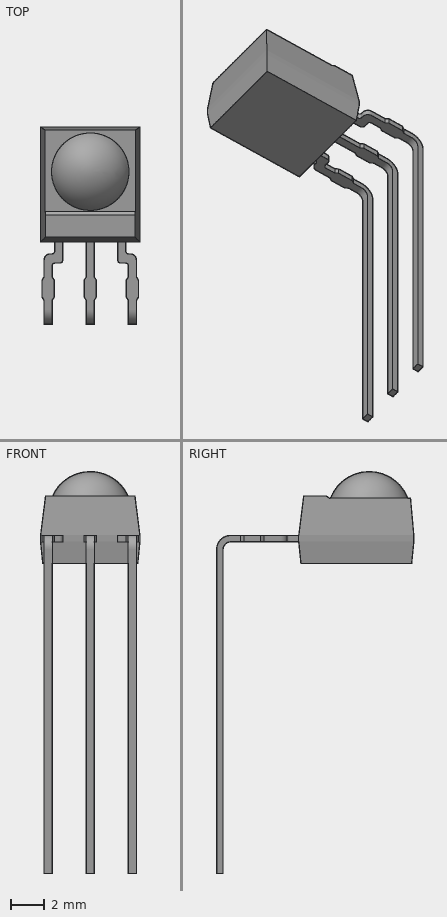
import cadquery as cq

total_height = 24.25
total_length = 11.9

body_width = 6.0
body_length = 6.95
body_bottom_height = 1.3
lead_thickness = 0.4
shelf_height = 2.25
rim_rise = 0.13
side_inset = 0.3
front_inset = 0.3
back_inset = 0.2
bottom_inset = 0.13
rim_foot_from_back = 5.1
rim_slope_length = 0.2

lens_radius = 2.335
lens_height = 1.6
lens_from_back = 2.7

lead_pitch = 2.54
lead_width = 0.5
lead_wide_width = 0.75
lead_taper_length = 0.19
lead_embed = 0.5
bend_inner_radius = 0.45
stub_width = 0.5
stub_offset = 1.9
jog_start = 0.7
jog_width = 0.57
wide_start = 2.1
wide_length = 1.4
jog_outer_radius = 0.38
jog_convex_radius = 0.2
jog_concave_radius = 0.15

band_bottom = body_bottom_height
band_top = band_bottom + lead_thickness
shelf_z = band_top + shelf_height
rim_z = shelf_z + rim_rise
back_y = body_length / 2
front_y = -back_y
lead_tip_y = back_y - total_length
lead_tip_z = shelf_z + lens_height - total_height
bend_outer_radius = bend_inner_radius + lead_thickness
bend_start_y = lead_tip_y + bend_outer_radius


def section(z, inset_x, inset_front, inset_back):
    """Closed rectangular wire of the body at height z."""
    half_width = body_width / 2 - inset_x
    front = front_y + inset_front
    back = back_y - inset_back
    corners = [(-half_width, front), (half_width, front), (half_width, back), (-half_width, back)]
    return cq.Wire.makePolygon([cq.Vector(x, y, z) for x, y in corners], close=True)


def frustum(lower, upper):
    return cq.Workplane(cq.Solid.makeLoft([lower, upper], True))


def make_body():
    base_section = section(0, bottom_inset, bottom_inset, bottom_inset)
    band_lower = section(band_bottom, 0, 0, 0)
    band_upper = section(band_top, 0, 0, 0)
    back_inset_at_rim = back_inset * (rim_z - band_top) / shelf_height
    top_section = section(rim_z, side_inset, front_inset, back_inset_at_rim)
    body = frustum(base_section, band_lower)
    body = body.union(frustum(band_lower, band_upper))
    body = body.union(frustum(band_upper, top_section))

    rim_foot_y = back_y - rim_foot_from_back
    shelf_cut = (
        cq.Workplane("YZ")
        .moveTo(rim_foot_y, shelf_z)
        .lineTo(rim_foot_y - rim_slope_length, rim_z)
        .lineTo(back_y, rim_z)
        .lineTo(back_y, shelf_z)
        .close()
        .extrude(body_width / 2, both=True)
    )
    return body.cut(shelf_cut)


def make_lens():
    sphere_radius = (lens_radius**2 + lens_height**2) / (2 * lens_height)
    sphere_z = shelf_z + lens_height - sphere_radius
    sphere = cq.Workplane("XY").sphere(sphere_radius).translate((0, 0, sphere_z))
    core = cq.Workplane("XY").workplane(offset=band_top).circle(lens_radius).extrude(total_height)
    lens = sphere.intersect(core)
    return lens.translate((0, back_y - lens_from_back, 0))


def lead_plate(outline):
    """Flat lead stretch, cut from the lead sheet."""
    return cq.Workplane("XY").workplane(offset=band_bottom).polyline(outline).close().extrude(lead_thickness)


def lead_bar(x, start_y):
    """Lead from start_y forward, widened in the middle, then bent down to its tip."""
    half = lead_width / 2
    half_wide = lead_wide_width / 2
    wide_back = front_y - wide_start
    wide_front = wide_back - wide_length
    right_edge = [
        (half, start_y),
        (half, wide_back),
        (half_wide, wide_back - lead_taper_length),
        (half_wide, wide_front + lead_taper_length),
        (half, wide_front),
        (half, bend_start_y),
    ]
    left_edge = [(-px, py) for px, py in reversed(right_edge)]
    flat = lead_plate(right_edge + left_edge)

    leg = (
        cq.Workplane("YZ")
        .moveTo(bend_start_y, band_top)
        .radiusArc((lead_tip_y, band_top - bend_outer_radius), -bend_outer_radius)
        .lineTo(lead_tip_y, lead_tip_z)
        .lineTo(lead_tip_y + lead_thickness, lead_tip_z)
        .lineTo(lead_tip_y + lead_thickness, band_top - bend_outer_radius)
        .radiusArc((bend_start_y, band_bottom), bend_inner_radius)
        .close()
        .extrude(half, both=True)
    )
    return flat.union(leg).translate((x, 0, 0))


def make_jogged_lead():
    """Right-hand outer lead, which steps outward just in front of the body."""
    stub_inner = stub_offset - stub_width / 2
    stub_outer = stub_offset + stub_width / 2
    lead_inner = lead_pitch - lead_width / 2
    lead_outer = lead_pitch + lead_width / 2
    jog_back = front_y - jog_start
    jog_front = jog_back - jog_width
    straight_start = (jog_front + front_y - wide_start) / 2
    jog = lead_plate([
        (stub_inner, front_y + lead_embed),
        (stub_outer, front_y + lead_embed),
        (stub_outer, jog_back),
        (lead_outer, jog_back),
        (lead_outer, straight_start),
        (lead_inner, straight_start),
        (lead_inner, jog_front),
        (stub_inner, jog_front),
    ])

    def corner(x, y):
        return cq.selectors.NearestToPointSelector((x, y, band_bottom + lead_thickness / 2))

    rounded_corners = [
        (lead_outer, jog_back, jog_outer_radius),
        (stub_outer, jog_back, jog_concave_radius),
        (lead_inner, jog_front, jog_concave_radius),
        (stub_inner, jog_front, jog_convex_radius),
    ]
    for x, y, radius in rounded_corners:
        jog = jog.edges(corner(x, y)).fillet(radius)
    return jog.union(lead_bar(lead_pitch, straight_start))


jogged_lead = make_jogged_lead()
result = make_body().union(make_lens())
result = result.union(lead_bar(0, front_y + lead_embed))
result = result.union(jogged_lead)
result = result.union(jogged_lead.mirror("YZ"))